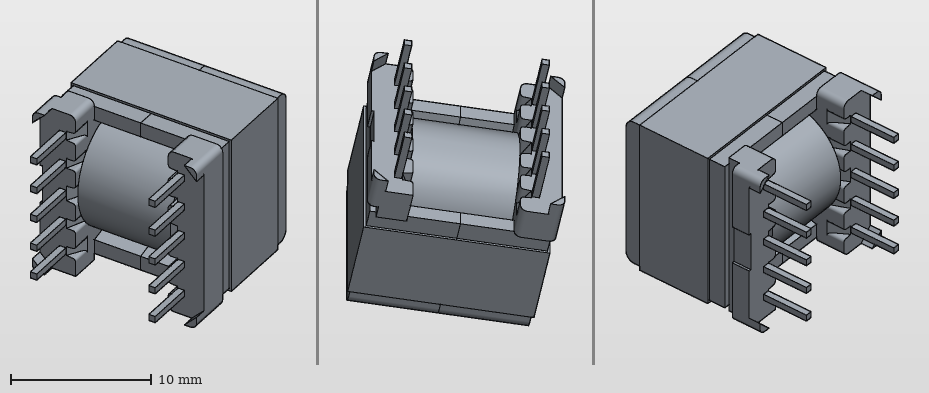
import cadquery as cq
import math


overall_length = 15.39

core_width = 13.13
core_height = 12.73
core_depth = 9.0
core_back_radius = 0.75
core_post_radius = 2.14
mouth_half_height = 5.17
mouth_depth = 1.7

tape_thickness = 0.18
tape_width = 6.2

winding_radius = 4.79
winding_front_overhang = 2.22
winding_length = 7.79
winding_center_y = winding_radius - winding_front_overhang

barrel_radius = 2.63
flange_thickness = 0.62
cavity_width = winding_length + 2 * flange_thickness

bobbin_width = 13.82
bobbin_height = 13.8
rail_depth = 2.5
rail_corner_radius = 0.52
rail_inner_x = winding_length / 2
rail_outer_x = bobbin_width / 2
relief_outer_x = 6.11
relief_depth = 0.95
foot_leg = 1.03
foot_drop = 1.0
key_length = 3.23
key_depth = 0.2

pin_size = 0.54
pin_x = 4.99
pin_pitch = 2.5
pin_count = 5
pin_tip_y = core_depth - overall_length

notch_depth = 0.78
notch_mouth_radius = 0.25
notch_draft = 0.06
end_notch_z = 2 * pin_pitch
end_notch_width = 0.74
end_notch_ramp_start = 0.95
side_notch_z = 2.6
side_notch_width = 0.83
middle_notch_width = 1.23
inner_notch_ramp_start = 0.6


def box(x_range, y_range, z_range):
    """Box spanning the given (low, high) ranges."""
    size = [high - low for low, high in (x_range, y_range, z_range)]
    low_corner = (x_range[0], y_range[0], z_range[0])
    return cq.Workplane("XY").box(*size, centered=False).translate(low_corner)


def x_cylinder(radius, x_low, x_high):
    """Cylinder on the winding axis."""
    circle = cq.Workplane("YZ", origin=(x_low, winding_center_y, 0)).circle(radius)
    return circle.extrude(x_high - x_low)


def centered(size):
    """Range of the given size, centered on zero."""
    return (-size / 2, size / 2)


def cavity_shape():
    """Winding cavity: a cylinder opening to the core front through a mouth with flared walls."""
    start_x = -cavity_width / 2
    mouth_end_half = math.sqrt(winding_radius**2 - (winding_center_y - mouth_depth) ** 2)
    mouth = (
        cq.Workplane("YZ", origin=(start_x, 0, 0))
        .moveTo(0, -mouth_half_height)
        .lineTo(mouth_depth, -mouth_end_half)
        .lineTo(mouth_depth, mouth_end_half)
        .lineTo(0, mouth_half_height)
        .close()
        .extrude(cavity_width)
    )
    back = box(centered(cavity_width), (mouth_depth, core_depth), centered(core_height))
    return x_cylinder(winding_radius, start_x, -start_x).intersect(back).union(mouth)


def whole_core():
    """Both core halves as one block, with the winding cavity and the center post."""
    block = box(centered(core_width), (0, core_depth), centered(core_height))
    block = block.edges("|X and >Y").fillet(core_back_radius)
    post = x_cylinder(core_post_radius, -cavity_width / 2, cavity_width / 2)
    return block.cut(cavity_shape()).union(post)


def core_half(side):
    """The half of the core on one side of X = 0; side is -1 or +1."""
    half_space = box(
        sorted((0, side * core_width)), (-core_depth, 2 * core_depth), centered(2 * core_height)
    )
    return whole_core().intersect(half_space)


def make_tape():
    """Band around the core, midway along its depth."""
    y_range = ((core_depth - tape_width) / 2, (core_depth + tape_width) / 2)
    outer_width = core_width + 2 * tape_thickness
    outer_height = core_height + 2 * tape_thickness
    outside = box(centered(outer_width), y_range, centered(outer_height))
    inside = box(centered(core_width), y_range, centered(core_height))
    return outside.cut(inside)


def make_winding():
    """Coil filling the space between the barrel and the cavity wall."""
    coil = x_cylinder(winding_radius, -winding_length / 2, winding_length / 2)
    return coil.cut(x_cylinder(barrel_radius, -winding_length / 2, winding_length / 2))


def make_spool():
    """Barrel, bored for the core post, with flanges that fill the two ends of the cavity."""
    between_flanges = box(
        centered(winding_length), (-core_depth, core_depth), centered(core_height)
    )
    flanges = cavity_shape().cut(between_flanges)
    barrel = x_cylinder(barrel_radius, -rail_inner_x, rail_inner_x)
    bore = x_cylinder(core_post_radius, -cavity_width / 2, cavity_width / 2)
    return flanges.union(barrel).cut(bore)


def wire_notch(z, width, ramp_start, draft):
    """Cutter for a notch in the right rail, with a floor that ramps deeper toward the front.

    The width is measured at the floor; each wall leans outward by the draft, up to a rounded mouth.
    """
    floor_half = width / 2
    wall_half = floor_half + draft
    floor_x = rail_inner_x + notch_depth
    tangent_x = rail_inner_x + notch_mouth_radius
    mouth_half = wall_half + notch_mouth_radius
    opening = (
        cq.Workplane("XZ", origin=(0, 0, z))
        .moveTo(floor_x, floor_half)
        .lineTo(tangent_x, wall_half)
        .radiusArc((rail_inner_x, mouth_half), notch_mouth_radius)
        .lineTo(rail_inner_x, -mouth_half)
        .radiusArc((tangent_x, -wall_half), notch_mouth_radius)
        .lineTo(floor_x, -floor_half)
        .close()
        .extrude(rail_depth)
    )
    ramp = (
        cq.Workplane("XY", origin=(0, 0, z - mouth_half))
        .moveTo(rail_inner_x, -ramp_start)
        .lineTo(rail_inner_x, -rail_depth)
        .lineTo(floor_x, -rail_depth)
        .close()
        .extrude(2 * mouth_half)
    )
    return opening.intersect(ramp)


def rail_notches():
    """Cutters for the five notches of the right rail, one beside each pin."""
    notches = [wire_notch(0, middle_notch_width, inner_notch_ramp_start, notch_draft)]
    for end in (-1, 1):
        notches.append(
            wire_notch(end * side_notch_z, side_notch_width, inner_notch_ramp_start, 0)
        )
        notches.append(
            wire_notch(end * end_notch_z, end_notch_width, end_notch_ramp_start, notch_draft)
        )
    return notches


def pin_z(index):
    """Height of a pin, counted from the bottom of the rail."""
    return (index - (pin_count - 1) / 2) * pin_pitch


def rail_foot(end):
    """Triangular foot at an outer corner of the right rail; end is -1 (bottom) or +1 (top)."""
    corner_z = end * bobbin_height / 2
    return (
        cq.Workplane("XZ", origin=(0, -rail_depth, 0))
        .moveTo(rail_outer_x, corner_z)
        .lineTo(rail_outer_x - foot_leg, corner_z)
        .lineTo(rail_outer_x, corner_z - end * foot_leg)
        .close()
        .extrude(foot_drop)
    )


def rail_blank(rounded_edges):
    """Right rail at full depth including the feet, with the selected long edges rounded."""
    y_range = (-rail_depth - foot_drop, 0)
    blank = box((rail_inner_x, rail_outer_x), y_range, centered(bobbin_height))
    for selector in rounded_edges:
        blank = blank.edges(selector).fillet(rail_corner_radius)
    return blank


def plain_rail(rounded_edges):
    """Right rail with feet, wire notches and pins."""
    blank = rail_blank(rounded_edges)
    rail = blank.intersect(
        box((rail_inner_x, rail_outer_x), (-rail_depth, 0), centered(bobbin_height))
    )
    for end in (-1, 1):
        rail = rail.union(blank.intersect(rail_foot(end)))
    for notch in rail_notches():
        rail = rail.cut(notch)
    for index in range(pin_count):
        z = pin_z(index)
        pin = box(
            (pin_x - pin_size / 2, pin_x + pin_size / 2),
            (pin_tip_y, -rail_depth),
            (z - pin_size / 2, z + pin_size / 2),
        )
        rail = rail.union(pin)
    return rail


def right_rail():
    """Rail on the +X side, with all four long edges rounded."""
    return plain_rail(["|Y"])


def left_rail():
    """Rail on the -X side, sharp at its lower inner edge, with a back relief and a key slot."""
    rail = plain_rail(["|Y and >X", "|Y and <X and >Z"]).mirror("YZ")
    relief = box((-rail_outer_x, -relief_outer_x), (-relief_depth, 0), centered(bobbin_height))
    key_slot = box(
        (-rail_outer_x, -rail_outer_x + key_depth), (-rail_depth, 0), centered(key_length)
    )
    return rail.cut(relief).cut(key_slot)


def make_bobbin():
    """Spool, rails and pins as one piece."""
    return make_spool().union(left_rail()).union(right_rail())


left_core = core_half(-1)
right_core = core_half(1)
tape = make_tape()
winding = make_winding()
bobbin = make_bobbin()

result = cq.Compound.makeCompound(
    [left_core.val(), right_core.val(), tape.val(), winding.val(), bobbin.val()]
)